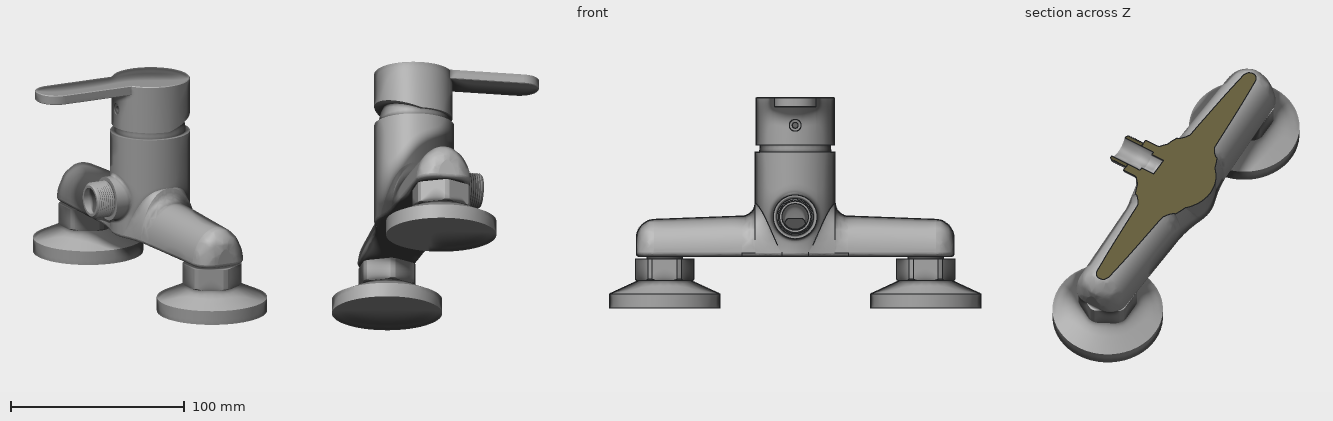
import cadquery as cq
import math

TOTAL_HEIGHT = 121.0
INLET_SPACING = 150.0

FLANGE_RADIUS = 31.75
FLANGE_RIM_HEIGHT = 8.1
FLANGE_HEIGHT = 15.8
FLANGE_TOP_RADIUS = 15.0

NUT_ACROSS_FLATS = 30.5
NUT_CORNER_DIAMETER = 33.7
NUT_TOP = 28.2
NUT_BOTTOM_CHAMFER = 0.8

HOUSING_BOTTOM = 29.6
HOUSING_TOP = 89.6
HOUSING_RADIUS = 23.0
BOTTOM_ROUNDING = 2.0
INLET_COLLAR_RADIUS = 10.25

ARM_END = 91.3
ARM_END_HALF_WIDTH = 15.6
ARM_END_HEIGHT = 21.0
ARM_END_ROUNDING = 10.8
ARM_ROOT_HALF_WIDTH = 17.9
ARM_ROOT_HEIGHT = 23.3

BLEND_RADIUS = 7.5
BLEND_SIDE_RADIUS = 70.0
BLEND_INSIDE_HEIGHT = 38.0
BLEND_STEPS = 4
BLEND_END = HOUSING_RADIUS + BLEND_RADIUS

OUTLET_Z = 52.4
OUTLET_BOSS_RADIUS = 12.6
OUTLET_BOSS_FACE = 28.2
OUTLET_BOSS_FILLET = 1.5
OUTLET_BORE_RADIUS = 7.6
OUTLET_WALL = 20.0
PORT_HALF_WIDTH = 5.8
PORT_CORNER = 2.8
PORT_TOP_DROP = 0.8
PORT_RIM = 0.5
PORT_DEPTH = 8.0

THREAD_CREST_RADIUS = 10.5
THREAD_DEPTH = 0.8
THREAD_PITCH = 1.25
THREAD_TURNS = 8
NIPPLE_LENGTH = 10.9
NIPPLE_END_CHAMFER = 0.7

CARTRIDGE_DOME_RADIUS = 20.5
HANDLE_RADIUS = 22.5
HANDLE_BOTTOM = 93.6
HANDLE_BACK_SLOPE = 18.0
HANDLE_SETBACK = HOUSING_RADIUS - HANDLE_RADIUS
LEVER_HALF_WIDTH = 12.0
LEVER_THICKNESS = 5.5
LEVER_REACH = 73.0
LEVER_TIP_RADIUS = 11.0
HANDLE_EDGE_CHAMFER = 0.4

PLUG_RADIUS = 3.4
PLUG_Z = 105.0
PLUG_FACE = 21.2
PLUG_LENGTH = 4.0
PLUG_SOCKET_RADIUS = 1.7
PLUG_SOCKET_DEPTH = 2.0


def front_plane(depth, z):
    """Workplane that faces -Y, at Y = -depth and height z."""
    return cq.Workplane("XZ", origin=(0, -depth, z))


def make_flange(x):
    profile = [
        (0, 0),
        (FLANGE_RADIUS, 0),
        (FLANGE_RADIUS, FLANGE_RIM_HEIGHT),
        (FLANGE_TOP_RADIUS, FLANGE_HEIGHT),
        (0, FLANGE_HEIGHT),
    ]
    return cq.Workplane("XZ").polyline(profile).close().revolve(360, (0, 0), (0, 1)).translate((x, 0, 0))


def make_nut(x):
    height = NUT_TOP - FLANGE_HEIGHT
    across_corners = NUT_ACROSS_FLATS / math.cos(math.radians(30))
    hexagon = cq.Workplane("XY").polygon(6, across_corners).extrude(height)
    turned_blank = cq.Workplane("XY").circle(NUT_CORNER_DIAMETER / 2).extrude(height)
    turned_blank = turned_blank.faces("<Z").chamfer(NUT_BOTTOM_CHAMFER)
    return hexagon.intersect(turned_blank).translate((x, 0, FLANGE_HEIGHT))


def arm_section(x, half_width, height):
    section = cq.Workplane("YZ", origin=(x, 0, HOUSING_BOTTOM))
    return section.ellipseArc(half_width, height, 0, 180, startAtCurrent=False).close().val()


def rounded_arm_section(x, half_width, height):
    """Half ellipse whose two bottom corners are rounded."""
    start_angle = math.asin(BOTTOM_ROUNDING / height)
    side = half_width * math.cos(start_angle)
    bottom = side - BOTTOM_ROUNDING
    angle = math.degrees(start_angle)
    section = cq.Workplane("YZ", origin=(x, 0, HOUSING_BOTTOM))
    return (
        section.moveTo(-bottom, 0)
        .lineTo(bottom, 0)
        .tangentArcPoint((side, BOTTOM_ROUNDING), relative=False)
        .ellipseArc(half_width, height, angle, 180 - angle)
        .radiusArc((-bottom, 0), -BOTTOM_ROUNDING)
        .close()
        .val()
    )


def loft_sections(sections, ruled):
    return cq.Workplane(cq.Solid.makeLoft(sections, ruled))


def blend_half_width(x):
    """Half width of the blend: an arc that leaves the arm side tangentially and meets the barrel."""
    offset = BLEND_END - x
    return ARM_ROOT_HALF_WIDTH + BLEND_SIDE_RADIUS - math.sqrt(BLEND_SIDE_RADIUS**2 - offset**2)


def blend_height(x):
    """Height of the blend: a quarter round between the arm top and the barrel."""
    offset = BLEND_END - x
    return ARM_ROOT_HEIGHT + BLEND_RADIUS - math.sqrt(BLEND_RADIUS**2 - offset**2)


def make_arm():
    end = arm_section(ARM_END, ARM_END_HALF_WIDTH, ARM_END_HEIGHT)
    root = arm_section(BLEND_END, ARM_ROOT_HALF_WIDTH, ARM_ROOT_HEIGHT)
    outer = loft_sections([root, end], True).faces(">X").edges("not(<Z)").fillet(ARM_END_ROUNDING)
    outer = outer.faces("<Z").edges("not(<X)").fillet(BOTTOM_ROUNDING)
    sections = []
    for step in range(BLEND_STEPS + 1):
        angle = math.radians(90 * step / BLEND_STEPS)
        x = BLEND_END - BLEND_RADIUS * math.sin(angle)
        sections.append(rounded_arm_section(x, blend_half_width(x), blend_height(x)))
    outer = outer.union(loft_sections(sections, False))
    side_contact = BLEND_END * HOUSING_RADIUS / (HOUSING_RADIUS + BLEND_SIDE_RADIUS)
    middle = (side_contact + HOUSING_RADIUS) / 2
    inside = [sections[-1]]
    for x in (middle, side_contact):
        inside.append(rounded_arm_section(x, blend_half_width(x), BLEND_INSIDE_HEIGHT))
    return outer.union(loft_sections(inside, False))


def make_housing():
    barrel = cq.Workplane("XY", origin=(0, 0, HOUSING_BOTTOM)).circle(HOUSING_RADIUS)
    barrel = barrel.extrude(HOUSING_TOP - HOUSING_BOTTOM).faces("<Z").edges().fillet(BOTTOM_ROUNDING)
    boss = front_plane(0, OUTLET_Z).circle(OUTLET_BOSS_RADIUS).extrude(OUTLET_BOSS_FACE)
    root_box = cq.selectors.BoxSelector(
        (-OUTLET_BOSS_RADIUS, -HOUSING_RADIUS, OUTLET_Z - OUTLET_BOSS_RADIUS),
        (OUTLET_BOSS_RADIUS, 0, OUTLET_Z + OUTLET_BOSS_RADIUS),
    )
    housing = barrel.union(boss).edges(root_box).fillet(OUTLET_BOSS_FILLET)
    arm = make_arm()
    housing = housing.union(arm).union(arm.mirror("YZ"))
    for side in (-1, 1):
        collar = cq.Workplane("XY", origin=(side * INLET_SPACING / 2, 0, NUT_TOP))
        housing = housing.union(collar.circle(INLET_COLLAR_RADIUS).extrude(HOUSING_BOTTOM - NUT_TOP))
    bore = front_plane(OUTLET_WALL, OUTLET_Z).circle(OUTLET_BORE_RADIUS).extrude(OUTLET_BOSS_FACE)
    return housing.cut(bore).cut(make_port())


def make_port():
    """Lower-half opening in the wall behind the outlet bore."""
    start = front_plane(OUTLET_WALL - PORT_DEPTH, OUTLET_Z)
    disc = start.circle(OUTLET_BORE_RADIUS - PORT_RIM).extrude(PORT_DEPTH)
    window = (
        start.center(0, -PORT_TOP_DROP - OUTLET_BORE_RADIUS / 2)
        .rect(2 * PORT_HALF_WIDTH, OUTLET_BORE_RADIUS)
        .extrude(PORT_DEPTH)
        .edges("|Y and >Z")
        .fillet(PORT_CORNER)
    )
    return disc.intersect(window)


def make_nipple():
    root_radius = THREAD_CREST_RADIUS - THREAD_DEPTH
    profile = cq.Workplane("XY").moveTo(OUTLET_BORE_RADIUS, 0).lineTo(root_radius, 0)
    for turn in range(THREAD_TURNS):
        start = turn * THREAD_PITCH
        profile = profile.lineTo(THREAD_CREST_RADIUS, start + THREAD_PITCH / 2)
        profile = profile.lineTo(root_radius, start + THREAD_PITCH)
    profile = (
        profile.lineTo(root_radius, NIPPLE_LENGTH - NIPPLE_END_CHAMFER)
        .lineTo(root_radius - NIPPLE_END_CHAMFER, NIPPLE_LENGTH)
        .lineTo(OUTLET_BORE_RADIUS, NIPPLE_LENGTH)
        .close()
    )
    tube = profile.revolve(360, (0, 0), (0, 1))
    return tube.rotate((0, 0, 0), (0, 0, 1), 180).translate((0, -OUTLET_BOSS_FACE, OUTLET_Z))


def make_dome():
    profile = (
        cq.Workplane("XZ", origin=(0, 0, HOUSING_TOP))
        .lineTo(CARTRIDGE_DOME_RADIUS, 0)
        .radiusArc((0, CARTRIDGE_DOME_RADIUS), -CARTRIDGE_DOME_RADIUS)
        .close()
    )
    return profile.revolve(360, (0, 0), (0, 1))


def make_handle(dome, plug_hole):
    grip = cq.Workplane("XY", origin=(0, HANDLE_SETBACK, HANDLE_BOTTOM)).circle(HANDLE_RADIUS)
    handle = grip.extrude(TOTAL_HEIGHT - HANDLE_BOTTOM)
    lever = (
        cq.Workplane("XY", origin=(0, -LEVER_REACH / 2, TOTAL_HEIGHT))
        .rect(2 * LEVER_HALF_WIDTH, LEVER_REACH)
        .extrude(-LEVER_THICKNESS)
        .edges("|Z and <Y")
        .fillet(LEVER_TIP_RADIUS)
        .faces("<Z")
        .chamfer(HANDLE_EDGE_CHAMFER)
    )
    handle = handle.union(lever).faces(">Z").chamfer(HANDLE_EDGE_CHAMFER)
    rise = 2 * HANDLE_RADIUS * math.tan(math.radians(HANDLE_BACK_SLOPE))
    back_wedge = (
        cq.Workplane("YZ")
        .moveTo(HANDLE_SETBACK, HANDLE_BOTTOM)
        .lineTo(HANDLE_SETBACK + 2 * HANDLE_RADIUS, HANDLE_BOTTOM)
        .lineTo(HANDLE_SETBACK + 2 * HANDLE_RADIUS, HANDLE_BOTTOM + rise)
        .close()
        .extrude(HANDLE_RADIUS, both=True)
    )
    return handle.cut(back_wedge).cut(dome).cut(plug_hole)


def make_plug_hole():
    inner_end = PLUG_FACE - PLUG_LENGTH
    return front_plane(inner_end, PLUG_Z).circle(PLUG_RADIUS).extrude(2 * PLUG_LENGTH)


def make_plug():
    plug = front_plane(PLUG_FACE - PLUG_LENGTH, PLUG_Z).circle(PLUG_RADIUS).extrude(PLUG_LENGTH)
    return plug.faces("<Y").workplane().circle(PLUG_SOCKET_RADIUS).cutBlind(-PLUG_SOCKET_DEPTH)


housing = make_housing()
nipple = make_nipple()
dome = make_dome()
handle = make_handle(dome, make_plug_hole())
plug = make_plug()

bodies = [housing.val(), nipple.val(), dome.val(), handle.val(), plug.val()]
for side in (-1, 1):
    inlet_x = side * INLET_SPACING / 2
    bodies.append(make_flange(inlet_x).val())
    bodies.append(make_nut(inlet_x).val())

result = cq.Compound.makeCompound(bodies)